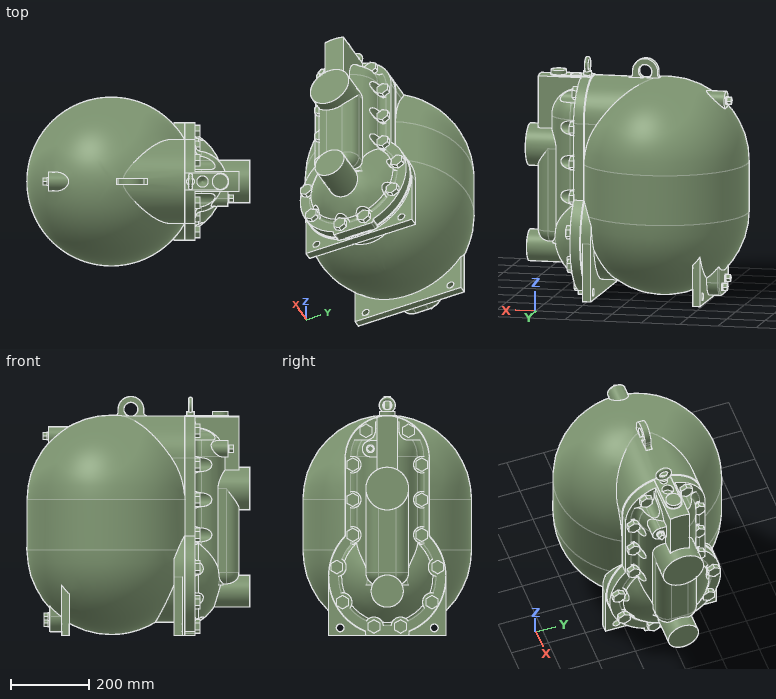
import cadquery as cq
import math

overall_length = 568.5

tank_radius = 215.5
lower_dome_z = 218.0
upper_dome_z = 347.0

upper_lobe_z = 453.0
upper_lobe_radius = 107.5
lower_lobe_z = 150.0
lower_lobe_radius = 150.0
neck_lower_radius = 116.0
mouth_plate_back_x = 159.6
joint_x = 186.3
flange_back_x = 188.3
flange_front_x = 214.0
joint_face_inset = 1.5
flange_foot_half_width = 56.0
flange_foot_corner = 5.0

leg_half_width = 150.0
front_leg_x = (-126.5, -107.0)
front_leg_top_z = 150.0
rear_leg_thickness = 21.6
leg_hole_diameter = 19.0
leg_hole_y = 120.0
leg_hole_z = 20.0

lug_x = 50.0
lug_hole_z = 577.0
lug_radius = 33.0
lug_thickness = 16.0
lug_hole_diameter = 35.0
lug_root_fillet = 9.0
lug_root_z = 560.5
lug_embed_z = 535.0

upper_boss_diameter = 48.0
upper_boss_z = 509.0
upper_boss_face_x = -160.5
lower_pad_radius = 39.0
lower_pad_z = 49.0
lower_pad_face_x = -158.0
lower_pad_top_z = 112.0
lower_pad_edge = 3.0
lower_pad_plugs = [(0.0, 49.0), (35.0, 32.5)]

plug_collar_diameter = 20.0
plug_collar_length = 3.0
plug_head_diagonal = 18.57
plug_head_length = 11.0

bolt_hex_corner = 34.6
bolt_head_height = 12.7
side_pocket_radius = 21.0
lobe_pocket_radius = 24.0
upper_pitch_radius = 88.0
upper_bolt_angle = 38.0
side_bolt_levels = [436.0, 346.5, 257.0]
lower_pitch_radius = 131.0
lower_bolt_angles = [15.0, 60.5, 101.0]

column_radius = 78.0
column_axis_x = 216.3
column_edge_x = 230.5
column_top_z = 456.5
dome_radius = 138.0
dome_center_x = 147.5
dome_edge_x = 222.0

pipe_end_x = overall_length - tank_radius
inlet_diameter = 109.0
inlet_z = 375.0
outlet_diameter = 82.0
outlet_z = 113.7
block_end_x = 325.6
block_half_width = 26.0
rib_bottom_z = 128.6
rib_edge_radius = 32.5

strip_half_width = 21.5
strip_top_z = 561.0
strip_embedded_height = 10.0
eye_x = 202.0
eye_collar_diameter = 20.0
eye_collar_top_z = 571.0
eye_center_z = 587.5
eye_ring_radius = 16.0
eye_wire_radius = 4.75
port_x = 232.5
port_diameter = 29.0
port_depth = 20.0
cap_x = 277.6
cap_diameter = 40.0
cap_top_z = 572.0

side_boss_y = -43.0
side_boss_z = 476.5
side_boss_diameter = 41.0
side_boss_end_x = 297.5


def box(x_range, y_range, z_range):
    """Box spanning the given ranges."""
    size = [r[1] - r[0] for r in (x_range, y_range, z_range)]
    corner = (x_range[0], y_range[0], z_range[0])
    return cq.Workplane("XY").box(*size, centered=False).translate(corner)


def x_cylinder(radius, y, z, x_start, x_end):
    """Cylinder along X."""
    return cq.Workplane("YZ", origin=(x_start, y, z)).circle(radius).extrude(x_end - x_start)


def z_cylinder(diameter, x, z_start, z_end):
    """Cylinder along Z on the middle plane of the part."""
    return cq.Workplane("XY", origin=(x, 0, z_start)).circle(diameter / 2).extrude(z_end - z_start)


def sphere(radius, x, z):
    return cq.Workplane("XY", origin=(x, 0, z)).sphere(radius)


def keyhole(upper_radius, lower_radius, x_start, x_end):
    """Plate along X: a straight-sided upper lobe running down into a round lower lobe."""
    upright = box((x_start, x_end), (-upper_radius, upper_radius), (lower_lobe_z, upper_lobe_z))
    top = x_cylinder(upper_radius, 0, upper_lobe_z, x_start, x_end)
    bottom = x_cylinder(lower_radius, 0, lower_lobe_z, x_start, x_end)
    return bottom.union(upright).union(top)


def bolt_head(sides, diagonal, y, z, x_start, length):
    """Polygon head along X with corners straight up and down."""
    profile = cq.Workplane("YZ", origin=(x_start, y, z)).transformed(rotate=(0, 0, 90))
    return profile.polygon(sides, diagonal).extrude(length)


def plug(y, z, face_x, direction):
    """Round collar and square head standing out of a face along +X or -X."""
    collar_end = face_x + direction * plug_collar_length
    collar = x_cylinder(plug_collar_diameter / 2, y, z, face_x, collar_end)
    return collar.union(bolt_head(4, plug_head_diagonal, y, z, collar_end, direction * plug_head_length))


def tank_shell():
    barrel = cq.Workplane("XY", origin=(0, 0, lower_dome_z)).circle(tank_radius)
    shell = barrel.extrude(upper_dome_z - lower_dome_z)
    for dome_z in (lower_dome_z, upper_dome_z):
        shell = shell.union(sphere(tank_radius, 0, dome_z))
    return shell


def tank_mouth():
    neck = keyhole(upper_lobe_radius, neck_lower_radius, 0, joint_x)
    plate = x_cylinder(lower_lobe_radius, 0, lower_lobe_z, mouth_plate_back_x, joint_x)
    return neck.union(plate)


def leg(x_range, top_z):
    plate = box(x_range, (-leg_half_width, leg_half_width), (0, top_z))
    for y in (-leg_hole_y, leg_hole_y):
        plate = plate.cut(x_cylinder(leg_hole_diameter / 2, y, leg_hole_z, *x_range))
    return plate


def lifting_lug():
    fillet_z = lug_root_z + lug_root_fillet
    foot = lug_radius + lug_root_fillet
    bend = lug_root_fillet * (1 - math.sqrt(0.5))
    outline = (
        cq.Workplane("XZ", origin=(lug_x, lug_thickness / 2, 0))
        .moveTo(-foot, lug_embed_z)
        .lineTo(-foot, lug_root_z)
        .threePointArc((-lug_radius - bend, lug_root_z + bend), (-lug_radius, fillet_z))
        .lineTo(-lug_radius, lug_hole_z)
        .threePointArc((0, lug_hole_z + lug_radius), (lug_radius, lug_hole_z))
        .lineTo(lug_radius, fillet_z)
        .threePointArc((lug_radius + bend, lug_root_z + bend), (foot, lug_root_z))
        .lineTo(foot, lug_embed_z)
        .close()
    )
    eye = cq.Workplane("XZ", origin=(lug_x, lug_thickness / 2, lug_hole_z))
    return outline.extrude(lug_thickness).cut(eye.circle(lug_hole_diameter / 2).extrude(lug_thickness))


def lower_drain_pad():
    """Round-cornered pad reaching from its face back to the front leg and up into the tank."""
    span_y = lower_pad_plugs[1][0]
    pad_x = (lower_pad_face_x, front_leg_x[0])
    pad = x_cylinder(lower_pad_radius, 0, lower_pad_z, *pad_x)
    pad = pad.union(x_cylinder(lower_pad_radius, span_y, lower_pad_z, *pad_x))
    low_z = lower_pad_z - lower_pad_radius
    pad = pad.union(box(pad_x, (0, span_y), (low_z, lower_pad_z)))
    sides = (-lower_pad_radius, span_y + lower_pad_radius)
    pad = pad.union(box(pad_x, sides, (lower_pad_z, lower_pad_top_z)))
    return pad.faces("<X").edges("not >Z").fillet(lower_pad_edge)


def build_tank():
    rear_leg_x = (mouth_plate_back_x, mouth_plate_back_x + rear_leg_thickness)
    body = tank_shell().union(tank_mouth())
    body = body.union(leg(front_leg_x, front_leg_top_z))
    body = body.union(leg(rear_leg_x, lower_lobe_z))
    body = body.union(lifting_lug())
    body = body.union(x_cylinder(upper_boss_diameter / 2, 0, upper_boss_z, upper_boss_face_x, 0))
    body = body.union(plug(0, upper_boss_z, upper_boss_face_x, -1))
    body = body.union(lower_drain_pad())
    for y, z in lower_pad_plugs:
        body = body.union(plug(y, z, lower_pad_face_x, -1))
    return body


def mirrored(places):
    return places + [(-y, z) for y, z in places]


def side_bolts():
    """(y, z) of the bolts down the straight sides."""
    return mirrored([(upper_pitch_radius, z) for z in side_bolt_levels])


def upper_bolts():
    """(y, z) of the two bolts in the upper lobe."""
    tilt = math.radians(upper_bolt_angle)
    z = upper_lobe_z + upper_pitch_radius * math.cos(tilt)
    return mirrored([(upper_pitch_radius * math.sin(tilt), z)])


def lower_bolts():
    """(y, z) of the bolts around the lower lobe."""
    tilts = [math.radians(angle) for angle in lower_bolt_angles]
    places = []
    for tilt in tilts:
        z = lower_lobe_z - lower_pitch_radius * math.cos(tilt)
        places.append((lower_pitch_radius * math.sin(tilt), z))
    return mirrored(places)


def cover_flange():
    joint_face = keyhole(
        upper_lobe_radius - joint_face_inset,
        lower_lobe_radius - joint_face_inset,
        joint_x,
        flange_back_x,
    )
    plate = keyhole(upper_lobe_radius, lower_lobe_radius, flange_back_x, flange_front_x)
    foot = box(
        (flange_back_x, flange_front_x),
        (-flange_foot_half_width, flange_foot_half_width),
        (0, flange_foot_half_width),
    )
    foot = foot.edges("<Z and |X").fillet(flange_foot_corner)
    return plate.union(joint_face).union(foot)


def half_section(radius, center_x, edge_x, z):
    """Half outline of a shell: a concave flare off the flange, then an arc to the tip on the middle plane."""
    edge = math.sqrt(radius**2 - (edge_x - center_x) ** 2)
    flare = edge_x - flange_front_x
    bend = flare * (1 - math.sqrt(0.5))
    half_angle = math.acos((edge_x - center_x) / radius) / 2
    middle = (center_x + radius * math.cos(half_angle), radius * math.sin(half_angle))
    return (
        cq.Workplane("XY", origin=(0, 0, z))
        .moveTo(flange_front_x, 0)
        .lineTo(flange_front_x, edge + flare)
        .threePointArc((flange_front_x + bend, edge + bend), (edge_x, edge))
        .threePointArc(middle, (center_x + radius, 0))
        .close()
    )


def column_shell():
    """Half-round upright column with a domed top end."""
    sizes = (column_radius, column_axis_x, column_edge_x)
    half = half_section(*sizes, rib_bottom_z).extrude(column_top_z - rib_bottom_z)
    top_end = half_section(*sizes, column_top_z).revolve(180, (0, 0, 0), (1, 0, 0))
    return half.union(half.mirror("XZ")).union(top_end)


def lower_dome():
    """Spherical cap in front of the lower lobe."""
    section = half_section(dome_radius, dome_center_x, dome_edge_x, lower_lobe_z)
    return section.revolve(360, (0, 0, 0), (1, 0, 0))


def pocket(radius, y, z):
    """Round clearance in the shell in front of one bolt."""
    return x_cylinder(radius, y, z, flange_front_x, pipe_end_x)


def upper_pocket(y, z):
    """Clearance for an upper bolt: rounded at its inner lower corner, open outward and upward."""
    radius = lobe_pocket_radius
    depth = (flange_front_x, pipe_end_x)
    outward = math.copysign(upper_lobe_radius, y)
    open_side = box(depth, sorted((y, outward)), (z - radius, upper_lobe_z + upper_lobe_radius))
    inner = y - math.copysign(radius, y)
    open_top = box(depth, sorted((inner, y)), (z, upper_lobe_z + upper_lobe_radius))
    return pocket(radius, y, z).union(open_side).union(open_top)


def cover_shell():
    shell = column_shell().union(lower_dome())
    for y, z in side_bolts():
        shell = shell.cut(pocket(side_pocket_radius, y, z))
    for y, z in lower_bolts():
        shell = shell.cut(pocket(lobe_pocket_radius, y, z))
    for y, z in upper_bolts():
        shell = shell.cut(upper_pocket(y, z))
    return shell


def top_block():
    """Block above the inlet pipe; its crown continues the flange's upper lobe."""
    crown_z = upper_lobe_z + upper_lobe_radius
    block_x = (flange_front_x, block_end_x)
    block = box(block_x, (-block_half_width, block_half_width), (inlet_z, crown_z))
    return block.intersect(keyhole(upper_lobe_radius, lower_lobe_radius, *block_x))


def side_boss():
    """Round boss joined to the side of the top block."""
    radius = side_boss_diameter / 2
    boss_x = (column_edge_x + radius, side_boss_end_x)
    boss = x_cylinder(radius, side_boss_y, side_boss_z, *boss_x)
    web = box(boss_x, (side_boss_y, 0), (side_boss_z - radius, side_boss_z + radius))
    return boss.union(web).union(plug(side_boss_y, side_boss_z, side_boss_end_x, 1))


def front_rib():
    """Broad rib joining the two pipes, rounded on its outer edges."""
    half_width = inlet_diameter / 2
    rib = box((column_axis_x, block_end_x), (-half_width, half_width), (rib_bottom_z, inlet_z))
    return rib.edges("(>X and |Z) or (>X and <Z) or (<Z and |X)").fillet(rib_edge_radius)


def raised_strip():
    """Flat strip along the crown, rounded about the cap at its far end."""
    low_z = strip_top_z - strip_embedded_height
    strip = box((flange_back_x, cap_x), (-strip_half_width, strip_half_width), (low_z, strip_top_z))
    return strip.union(z_cylinder(2 * strip_half_width, cap_x, low_z, strip_top_z))


def port_hole():
    """Blind hole with a conical bottom."""
    radius = port_diameter / 2
    profile = (
        cq.Workplane("XZ", origin=(port_x, 0, strip_top_z))
        .polyline([(0, 0), (radius, 0), (radius, -port_depth), (0, -port_depth - radius)])
        .close()
    )
    return profile.revolve(360, (0, 0, 0), (0, 1, 0))


def eye_bolt():
    collar = z_cylinder(eye_collar_diameter, eye_x, strip_top_z, eye_collar_top_z)
    center = cq.Vector(eye_x, 0, eye_center_z)
    ring = cq.Solid.makeTorus(eye_ring_radius, eye_wire_radius, center, cq.Vector(1, 0, 0))
    return collar.union(cq.Workplane(ring))


def build_cover():
    body = cover_flange().union(cover_shell()).union(top_block()).union(side_boss())
    body = body.union(front_rib())
    body = body.union(x_cylinder(inlet_diameter / 2, 0, inlet_z, flange_front_x, pipe_end_x))
    body = body.union(x_cylinder(outlet_diameter / 2, 0, outlet_z, flange_front_x, pipe_end_x))
    body = body.union(raised_strip()).cut(port_hole()).union(eye_bolt())
    body = body.union(z_cylinder(cap_diameter, cap_x, strip_top_z, cap_top_z))
    for y, z in side_bolts() + upper_bolts() + lower_bolts():
        body = body.union(bolt_head(6, bolt_hex_corner, y, z, flange_front_x, bolt_head_height))
    return body


tank = build_tank()
cover = build_cover().cut(tank_shell())
result = cq.Compound.makeCompound([tank.val(), cover.val()])